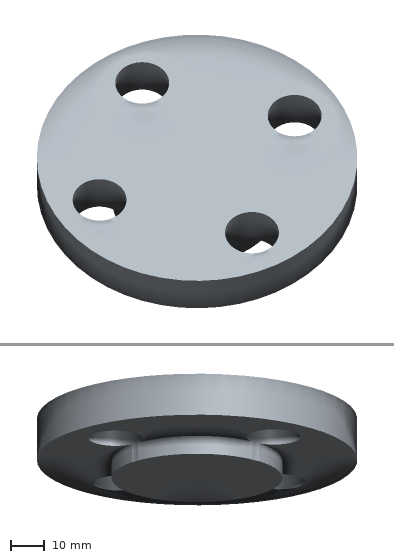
import cadquery as cq

flange_diameter = 95.25
flange_thickness = 12.7
face_diameter = 50.8
face_height = 5.56
bolt_circle_diameter = 66.5
bolt_hole_diameter = 16.0
bolt_count = 4


def make_disc():
    """Flange disc with its underside on Z = 0."""
    return cq.Workplane("XY").circle(flange_diameter / 2).extrude(flange_thickness)


def make_raised_face():
    """Round raised face below the disc."""
    return cq.Workplane("XY").circle(face_diameter / 2).extrude(-face_height)


def make_bolt_holes():
    """Holes through disc and raised face; each one also nicks the rim of the face."""
    return (
        cq.Workplane("XY", origin=(0, 0, -face_height))
        .polarArray(bolt_circle_diameter / 2, 0, 360, bolt_count)
        .circle(bolt_hole_diameter / 2)
        .extrude(face_height + flange_thickness)
    )


result = make_disc().union(make_raised_face()).cut(make_bolt_holes())